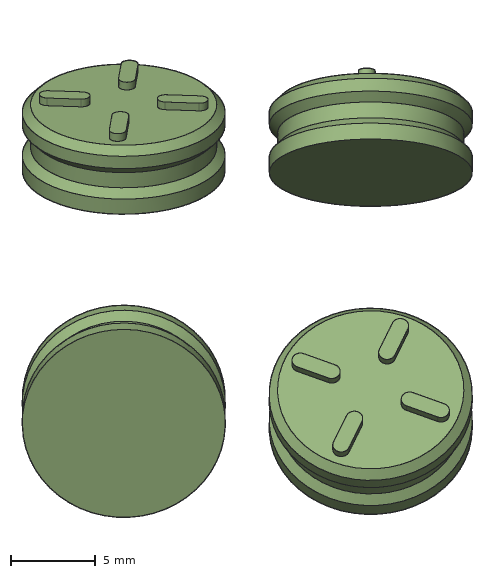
import cadquery as cq

outer_radius = 6.0
neck_radius = 11.0 / 2

lower_rim_top = 1.0
neck_bottom = 1.5
neck_top = 2.5
upper_rim_bottom = 3.0
upper_rim_top = 3.8
top_face = 4.3
total_height = 4.8

rib_count = 4
rib_width = 1.0
rib_inner_center = 2.5
rib_outer_center = 4.5
first_rib_angle = 45.0


def grooved_disc():
    """Revolve the half section: two rims, a sloped groove and a chamfered top edge."""
    return (
        cq.Workplane("XZ")
        .moveTo(0, 0)
        .lineTo(outer_radius, 0)
        .lineTo(outer_radius, lower_rim_top)
        .lineTo(neck_radius, neck_bottom)
        .lineTo(neck_radius, neck_top)
        .lineTo(outer_radius, upper_rim_bottom)
        .lineTo(outer_radius, upper_rim_top)
        .lineTo(neck_radius, top_face)
        .lineTo(0, top_face)
        .close()
        .revolve(360, (0, 0, 0), (0, 1, 0))
    )


def rib(angle):
    """Round-ended rib pointing away from the axis at the given angle."""
    overall_length = rib_outer_center - rib_inner_center + rib_width
    return (
        cq.Workplane("XY")
        .workplane(offset=top_face)
        .center((rib_inner_center + rib_outer_center) / 2, 0)
        .slot2D(overall_length, rib_width)
        .extrude(total_height - top_face)
        .rotate((0, 0, 0), (0, 0, 1), angle)
    )


result = grooved_disc()
for index in range(rib_count):
    result = result.union(rib(first_rib_angle + index * 360 / rib_count))